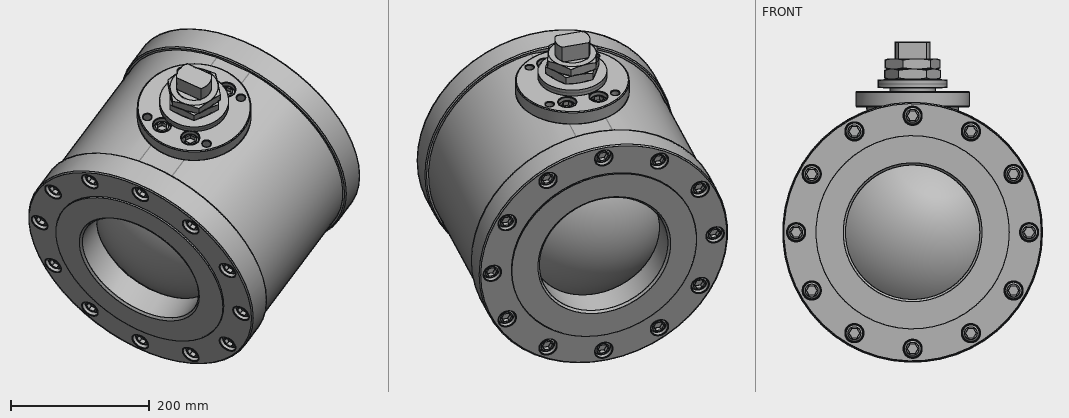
import cadquery as cq
import math


overall_height = 462

body_diameter = 365.5
top_flat_height = 180.5
flange_diameter = 375.0
flange_inner_y = 112.5
flange_outer_y = 155.0
flange_chamfer = 2.0
raised_face_diameter = 279.0
raised_face_y = 157.5

ball_diameter = 297.5
bore_diameter = 194.0
bore_chamfer = 3.2

screw_count = 12
screw_circle_radius = 168.0
counterbore_diameter = 26.0
counterbore_chamfer = 1.0
counterbore_depth = 18.5
head_diameter = 24.0
head_recess = 3.5
head_chamfer = 3.0
socket_across_flats = 13.5
socket_depth = 7.0

spot_face_diameter = 100.0
spot_face_height = -181.5

spigot_diameter = 132.5
spigot_bottom = 175.0
plate_diameter = 164.5
plate_bottom = 181.0
plate_top = 203.5
plate_chamfer = 1.5
plate_screw_x = 23.5
plate_screw_y = 51.7
plate_hole_offset = 49.5
plate_hole_diameter = 12.0
plate_hole_mouth = 14.0
plate_hole_mouth_angle = 90

neck_diameter = 66.0
washer_diameter = 100.0
washer_crown_diameter = 69.5
washer_rim_bottom = 209.5
washer_rim_height = 5.0
washer_dish = 1.5
nut_across_flats = 69.8
nut_height = 15.0
nut_crown_diameter = 69.5
nut_chamfer_height = 2.0
upper_nut_angle = 10
stem_diameter = 51.0
stem_across_flats = 30.5
stem_shoulder_drop = 2.5
stem_top = overall_height - flange_diameter / 2

washer_joint = washer_rim_bottom + washer_rim_height
lower_nut_bottom = washer_joint + washer_rim_height + washer_dish
upper_nut_bottom = lower_nut_bottom + nut_height
stem_shoulder = upper_nut_bottom + nut_height - stem_shoulder_drop


def disc(diameter, bottom, top):
    """Cylinder on the Z axis between two heights."""
    return cq.Workplane("XY").workplane(offset=bottom).circle(diameter / 2).extrude(top - bottom)


def flow_disc(diameter, start, end):
    """Cylinder on the Y axis between two stations."""
    return cq.Workplane("XZ", origin=(0, start, 0)).circle(diameter / 2).extrude(start - end)


def hexagon(across_flats, bottom, height):
    """Hexagonal prism on the Z axis with two corners on the X axis."""
    across_corners = across_flats / math.cos(math.pi / 6)
    return cq.Workplane("XY").workplane(offset=bottom).polygon(6, across_corners).extrude(height)


def turn(profile):
    """Solid turned about the Z axis from (radius, height) points."""
    return cq.Workplane("XZ").polyline(profile).close().revolve(360, (0, 0, 0), (0, 1, 0))


def make_body():
    """Barrel with a narrow flat along its top and a round spot face at its bottom."""
    barrel = flow_disc(body_diameter, -flange_inner_y, flange_inner_y)
    above_flat = cq.Workplane("XY").workplane(offset=top_flat_height).rect(
        body_diameter, 2 * flange_inner_y).extrude(body_diameter)
    below_spot_face = disc(spot_face_diameter, -body_diameter / 2, spot_face_height)
    return barrel.cut(above_flat).cut(below_spot_face)


def make_end_flange():
    """Flange with its raised face at the -Y end."""
    plate = flow_disc(flange_diameter, -flange_outer_y, -flange_inner_y)
    plate = plate.edges().chamfer(flange_chamfer)
    return plate.union(flow_disc(raised_face_diameter, -raised_face_y, -flange_inner_y))


def make_bore():
    """Flow bore with a chamfered mouth at the -Y end."""
    radius = bore_diameter / 2
    mouth_radius = radius + bore_chamfer
    profile = [
        (0, 0),
        (radius, 0),
        (radius, -raised_face_y + bore_chamfer),
        (mouth_radius, -raised_face_y),
        (0, -raised_face_y),
    ]
    return cq.Workplane("XY").polyline(profile).close().revolve(360, (0, 0, 0), (0, 1, 0))


def make_counterbore():
    """Counterbore with a chamfered mouth in the plane Z = 0."""
    radius = counterbore_diameter / 2
    return turn([
        (0, -counterbore_depth),
        (radius, -counterbore_depth),
        (radius, -counterbore_chamfer),
        (radius + counterbore_chamfer, 0),
        (0, 0),
    ])


def make_screw_head():
    """Cap screw head with a hexagonal socket, seated on the floor of its counterbore."""
    head = disc(head_diameter, -counterbore_depth, -head_recess)
    head = head.faces(">Z").edges().chamfer(head_chamfer)
    return head.cut(hexagon(socket_across_flats, -head_recess - socket_depth, socket_depth))


def place_flange_screws(tool):
    """Copies of a screw feature around the flange at the -Y end."""
    on_flange = tool.rotate((0, 0, 0), (1, 0, 0), 90).translate((0, -flange_outer_y, 0))
    copies = []
    for index in range(screw_count):
        angle = 2 * math.pi * index / screw_count
        offset = (screw_circle_radius * math.cos(angle), 0, screw_circle_radius * math.sin(angle))
        copies.append(on_flange.translate(offset))
    return copies


def place_plate_screws(tool):
    """Copies of a screw feature at the four screw places of the mounting plate."""
    return [
        tool.translate((x, y, plate_top))
        for x in (-plate_screw_x, plate_screw_x)
        for y in (-plate_screw_y, plate_screw_y)
    ]


def make_mounting_plate():
    """Round plate on its spigot, with four countersunk holes."""
    plate = disc(plate_diameter, plate_bottom, plate_top).edges().chamfer(plate_chamfer)
    plate = plate.faces(">Z").workplane(origin=(0, 0, plate_top)).rect(
        2 * plate_hole_offset, 2 * plate_hole_offset, forConstruction=True).vertices().cskHole(
        plate_hole_diameter, plate_hole_mouth, plate_hole_mouth_angle)
    return plate.union(disc(spigot_diameter, spigot_bottom, plate_bottom))


def make_washer_pair():
    """Two dished spring washers that touch at their rims."""
    rim = washer_diameter / 2
    crown = washer_crown_diameter / 2
    rim_top = washer_joint + washer_rim_height
    profile = [
        (0, washer_joint),
        (rim, washer_joint),
        (rim, rim_top),
        (crown, rim_top + washer_dish),
        (0, rim_top + washer_dish),
    ]
    upper = turn(profile)
    return upper.union(upper.mirror("XY", (0, 0, washer_joint)), clean=False)


def make_nut(bottom, angle):
    """Hexagonal nut with its corners chamfered at both ends."""
    corner = nut_across_flats / 2 / math.cos(math.pi / 6)
    crown = nut_crown_diameter / 2
    top = bottom + nut_height
    profile = [
        (0, bottom),
        (crown, bottom),
        (corner, bottom + nut_chamfer_height),
        (corner, top - nut_chamfer_height),
        (crown, top),
        (0, top),
    ]
    envelope = turn(profile)
    nut = hexagon(nut_across_flats, bottom, nut_height).intersect(envelope)
    return nut.rotate((0, 0, 0), (0, 0, 1), angle)


def make_stem_end():
    """Stem end with two flats facing -Y and +Y."""
    flats = cq.Workplane("XY").workplane(offset=stem_shoulder).rect(
        stem_diameter, stem_across_flats).extrude(stem_top - stem_shoulder)
    return disc(stem_diameter, stem_shoulder, stem_top).intersect(flats)


def make_ball():
    """Solid ball that closes the flow bore."""
    return cq.Workplane("XY").sphere(ball_diameter / 2)


def make_housing():
    """Body, flanges, screw heads and stem stack as one solid around the ball."""
    end_flange = make_end_flange()
    bore = make_bore()
    counterbore = make_counterbore()
    screw_head = make_screw_head()

    housing = make_body().union(end_flange).union(end_flange.mirror("XZ"))
    housing = housing.union(make_mounting_plate())
    housing = housing.union(disc(neck_diameter, plate_top, washer_joint))
    housing = housing.union(make_washer_pair(), clean=False)
    housing = housing.union(make_nut(lower_nut_bottom, 0), clean=False)
    housing = housing.union(make_nut(upper_nut_bottom, upper_nut_angle), clean=False)
    housing = housing.cut(disc(stem_diameter, stem_shoulder, stem_top), clean=False)
    housing = housing.union(make_stem_end(), clean=False)

    for bore_side in (bore, bore.mirror("XZ")):
        housing = housing.cut(bore_side, clean=False)
    housing = housing.cut(make_ball(), clean=False)

    pockets = place_flange_screws(counterbore)
    heads = place_flange_screws(screw_head)
    pockets += [pocket.mirror("XZ") for pocket in pockets]
    heads += [head.mirror("XZ") for head in heads]
    pockets += place_plate_screws(counterbore)
    heads += place_plate_screws(screw_head)
    for pocket, head in zip(pockets, heads):
        housing = housing.cut(pocket.cut(head), clean=False)
    return housing


housing = make_housing()
ball = make_ball()
result = cq.Compound.makeCompound([housing.solids().val(), ball.val()])